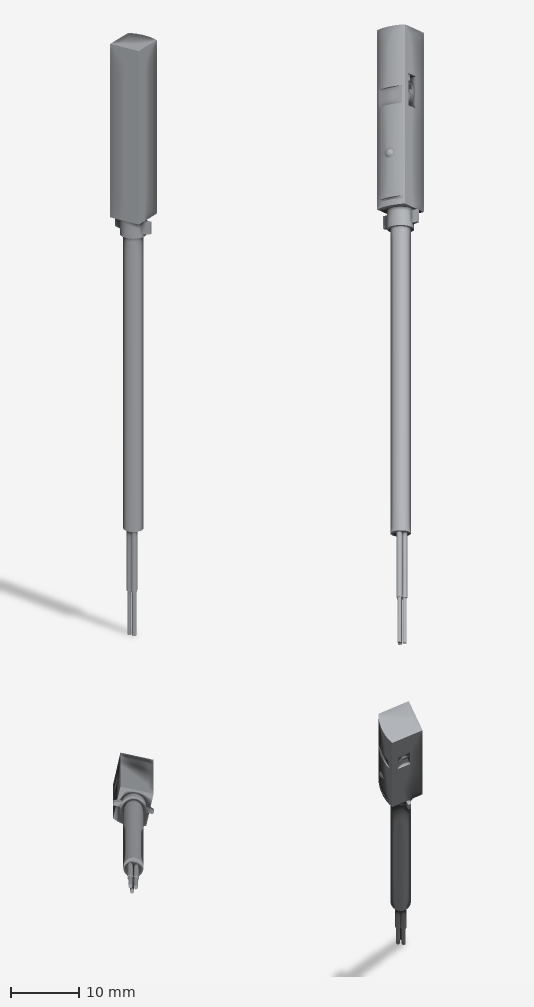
import cadquery as cq
import math


OVERALL_LENGTH = 94.7
HOUSING_WIDTH = 5.0
HOUSING_LENGTH = 27.75
HALF_WIDTH = HOUSING_WIDTH / 2
ROOF_PEAK_Y = 2.93
ROOF_RISE = 0.53
EAVES_Y = ROOF_PEAK_Y - ROOF_RISE

FLAT_BOTTOM_Z = HOUSING_LENGTH - 12.1
FLAT_LENGTH = 2.7
FLAT_DEPTH = 0.35
GROOVE_Z = 1.1
GROOVE_WIDTH = 0.4
GROOVE_DEPTH = 0.38
STUD_Z = HOUSING_LENGTH - 19.6
STUD_DIAMETER = 1.5
STUD_TIP_Y = 3.3

POCKET_TOP_Z = HOUSING_LENGTH - 7.3
POCKET_LENGTH = 5.0
POCKET_MIN_Y = -0.5
POCKET_MAX_Y = 1.5
POCKET_SPLIT_Y = 0.65
POCKET_DEPTH = 2.0
WHEEL_RECESS = 0.3
LARGE_WHEEL_DIAMETER = 6.0
SMALL_WHEEL_DIAMETER = 3.55
WHEEL_SLOT_WIDTH = 0.8
WHEEL_SLOT_LENGTH = 0.7
WHEEL_SLOT_DEPTH = 0.4
SLOT_ABOVE_CENTRE = 0.7
STOP_FACE_LENGTH = 0.9
STOP_LENGTH = 1.7
POCKET_FLOOR_X = POCKET_DEPTH - HALF_WIDTH
POCKET_BOTTOM_Z = POCKET_TOP_Z - POCKET_LENGTH
WHEEL_FACE_X = WHEEL_RECESS - HALF_WIDTH
LARGE_WHEEL_Z = POCKET_TOP_Z - POCKET_LENGTH / 2
SMALL_WHEEL_Z = POCKET_BOTTOM_Z + SMALL_WHEEL_DIAMETER / 2

COLLAR_DIAMETER = 4.0
COLLAR_LENGTH = 2.85
WING_SPAN = 6.1
WING_LENGTH = 1.95
WING_GAP = 0.3
WING_BACK_Y = 0.15
WING_TIP_FRONT_Y = -0.3
WING_ROOT_FRONT_Y = -0.7
WING_ROOT_X = 1.8

CABLE_OFFSET_Y = -0.09
CABLE_DIAMETER = 3.0
CABLE_END_Z = -49.95
WIRE_DIAMETER = 0.85
WIRE_SPACING = 0.84
WIRE_OFFSET_X = -0.1
WIRE_LENGTH = 10.0
WIRE_END_Z = CABLE_END_Z - WIRE_LENGTH
CONDUCTOR_DIAMETER = 0.6
CONDUCTOR_END_Z = HOUSING_LENGTH - OVERALL_LENGTH
WIRE_COUNT = 3


def block(x_range, y_range, z_range):
    """Box between the given limits."""
    size = [limits[1] - limits[0] for limits in (x_range, y_range, z_range)]
    corner = (x_range[0], y_range[0], z_range[0])
    return cq.Workplane("XY").box(*size, centered=False).translate(corner)


def rod(diameter, top_z, bottom_z, x=0, y=0):
    """Vertical round rod."""
    return (
        cq.Workplane("XY", origin=(x, y, bottom_z))
        .circle(diameter / 2)
        .extrude(top_z - bottom_z)
    )


def make_housing():
    return (
        cq.Workplane("XY")
        .moveTo(-HALF_WIDTH, -HALF_WIDTH)
        .lineTo(HALF_WIDTH, -HALF_WIDTH)
        .lineTo(HALF_WIDTH, EAVES_Y)
        .threePointArc((0, ROOF_PEAK_Y), (-HALF_WIDTH, EAVES_Y))
        .close()
        .extrude(HOUSING_LENGTH)
    )


def make_roof_cut(bottom_z, length, depth):
    """Cutter that trims the roof down by a depth below its peak."""
    return block(
        (-HALF_WIDTH, HALF_WIDTH),
        (ROOF_PEAK_Y - depth, ROOF_PEAK_Y),
        (bottom_z, bottom_z + length),
    )


def make_stud():
    """Ball set into the middle of the roof, leaving a domed stud."""
    radius = STUD_DIAMETER / 2
    return cq.Workplane("XY", origin=(0, STUD_TIP_Y - radius, STUD_Z)).sphere(radius)


def make_wheel(diameter, centre_z, min_y, max_y):
    """Wheel with its axis along Y and its rim just below the side face."""
    return (
        cq.Workplane("XZ", origin=(WHEEL_FACE_X + diameter / 2, max_y, centre_z))
        .circle(diameter / 2)
        .extrude(max_y - min_y)
    )


def make_wheel_slot():
    centre_z = LARGE_WHEEL_Z + SLOT_ABOVE_CENTRE
    return block(
        (-HALF_WIDTH, WHEEL_FACE_X + WHEEL_SLOT_DEPTH),
        (POCKET_SPLIT_Y - WHEEL_SLOT_LENGTH, POCKET_SPLIT_Y),
        (centre_z - WHEEL_SLOT_WIDTH / 2, centre_z + WHEEL_SLOT_WIDTH / 2),
    )


def make_stop():
    """Stop above the small wheel, with a sloping underside."""
    return (
        cq.Workplane("XZ", origin=(0, POCKET_MAX_Y, 0))
        .moveTo(POCKET_FLOOR_X, POCKET_TOP_Z)
        .lineTo(WHEEL_FACE_X, POCKET_TOP_Z)
        .lineTo(WHEEL_FACE_X, POCKET_TOP_Z - STOP_FACE_LENGTH)
        .lineTo(POCKET_FLOOR_X, POCKET_TOP_Z - STOP_LENGTH)
        .close()
        .extrude(POCKET_MAX_Y - POCKET_SPLIT_Y)
    )


def make_pocket():
    """Cutter for the side pocket, leaving the wheels and the stop standing."""
    pocket = block(
        (-HALF_WIDTH, POCKET_FLOOR_X),
        (POCKET_MIN_Y, POCKET_MAX_Y),
        (POCKET_BOTTOM_Z, POCKET_TOP_Z),
    )
    large_wheel = make_wheel(LARGE_WHEEL_DIAMETER, LARGE_WHEEL_Z, POCKET_MIN_Y, POCKET_SPLIT_Y)
    small_wheel = make_wheel(SMALL_WHEEL_DIAMETER, SMALL_WHEEL_Z, POCKET_SPLIT_Y, POCKET_MAX_Y)
    large_wheel = large_wheel.cut(make_wheel_slot())
    return pocket.cut(large_wheel).cut(small_wheel).cut(make_stop())


def make_wing():
    """Tapered wing on the +X side of the collar."""
    return (
        cq.Workplane("XY", origin=(0, 0, -WING_GAP - WING_LENGTH))
        .moveTo(WING_ROOT_X, WING_BACK_Y)
        .lineTo(WING_SPAN / 2, WING_BACK_Y)
        .lineTo(WING_SPAN / 2, WING_TIP_FRONT_Y)
        .lineTo(WING_ROOT_X, WING_ROOT_FRONT_Y)
        .close()
        .extrude(WING_LENGTH)
    )


def make_wires():
    """Three stripped wires in a triangle, one towards +Y."""
    pitch_radius = WIRE_SPACING / math.sqrt(3)
    wires = cq.Workplane("XY")
    for index in range(WIRE_COUNT):
        angle = math.pi / 2 + index * 2 * math.pi / WIRE_COUNT
        x = WIRE_OFFSET_X + pitch_radius * math.cos(angle)
        y = pitch_radius * math.sin(angle)
        wires = wires.add(rod(WIRE_DIAMETER, CABLE_END_Z, WIRE_END_Z, x, y))
        wires = wires.add(rod(CONDUCTOR_DIAMETER, WIRE_END_Z, CONDUCTOR_END_Z, x, y))
    return wires.combine()


housing = make_housing()
housing = housing.cut(make_roof_cut(FLAT_BOTTOM_Z, FLAT_LENGTH, FLAT_DEPTH))
housing = housing.cut(make_roof_cut(GROOVE_Z - GROOVE_WIDTH / 2, GROOVE_WIDTH, GROOVE_DEPTH))
housing = housing.cut(make_pocket())
housing = housing.union(make_stud())

collar = rod(COLLAR_DIAMETER, 0, -COLLAR_LENGTH)
wing = make_wing()
collar = collar.union(wing).union(wing.mirror("YZ"))

cable = rod(CABLE_DIAMETER, -COLLAR_LENGTH, CABLE_END_Z).union(make_wires())

cable_assembly = collar.union(cable).translate((0, CABLE_OFFSET_Y, 0))

result = housing.union(cable_assembly)